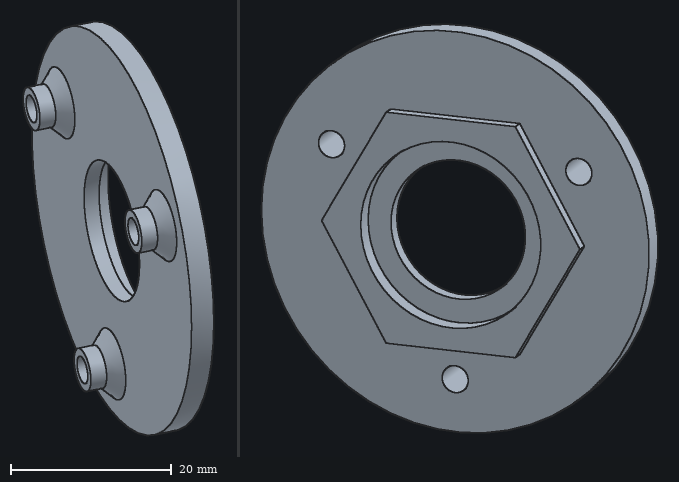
import cadquery as cq

plate_diameter = 52.0
plate_thickness = 3.0

hexagon_corner_diameter = 34.65
hexagon_height = 1.5

bore_diameter = 18.0
bore_depth = 2.05
recess_diameter = 24.15

boss_count = 3
boss_circle_radius = 19.15
first_boss_angle = 30.0
cone_base_diameter = 9.15
cone_taper = 45.0
pin_diameter = 5.5
boss_hole_diameter = 3.5
boss_height = 3.95

cone_height = (cone_base_diameter - pin_diameter) / 2
pad_back = plate_thickness + hexagon_height
total_depth = pad_back + boss_height


def front_plane(y):
    """Workplane at the given Y whose normal points toward -Y."""
    return cq.Workplane("XZ", origin=(0, y, 0))


def boss_cylinders(start_y, diameter, length, taper=0):
    """One cylinder or cone at each boss centre, running toward -Y."""
    centers = front_plane(start_y).polarArray(boss_circle_radius, first_boss_angle, 360, boss_count)
    return centers.circle(diameter / 2).extrude(length, taper=taper)


plate = front_plane(plate_thickness).circle(plate_diameter / 2).extrude(plate_thickness)
pad = front_plane(pad_back).polygon(6, hexagon_corner_diameter).extrude(hexagon_height)

cones = boss_cylinders(0, cone_base_diameter, cone_height, cone_taper)
pins = boss_cylinders(0, pin_diameter, boss_height)
boss_holes = boss_cylinders(pad_back, boss_hole_diameter, total_depth)

bore = front_plane(pad_back).circle(bore_diameter / 2).extrude(pad_back)
recess = front_plane(pad_back).circle(recess_diameter / 2).extrude(pad_back - bore_depth)

body = plate.union(pad).union(cones).union(pins)
result = body.cut(bore).cut(recess).cut(boss_holes)